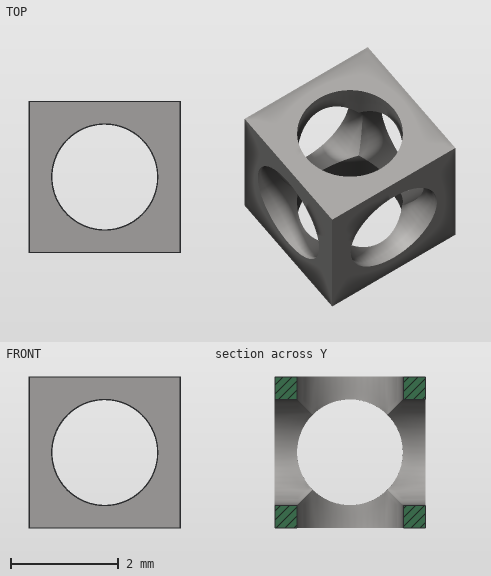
import cadquery as cq

cube_side = 2.8
bore_diameter = 1.96


def through_bore(plane_name):
    """Cylinder through the cube centre, normal to the named plane."""
    return cq.Workplane(plane_name).circle(bore_diameter / 2).extrude(cube_side / 2, both=True)


result = cq.Workplane("XY").box(cube_side, cube_side, cube_side)
for plane_name in ("XY", "XZ", "YZ"):
    result = result.cut(through_bore(plane_name))